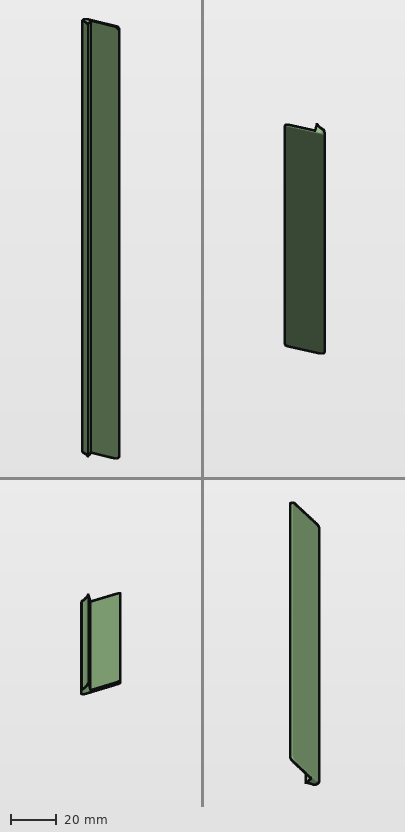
import cadquery as cq

length = 221.0
width = 18.0
depth = 4.5

plate_thickness = 1.0
nose_depth = 2.5
nose_run = 0.9
lip_run = 4.5
lip_sag = 0.33

corner_radius = 2.0
back_edge_radius = 0.7

left = -width / 2
right = width / 2
back = depth / 2
front = -depth / 2
lip_face = left + lip_run
plate_front = back - plate_thickness
nose_front = back - nose_depth


def make_profile():
    """Plate section with a bulged nose and a hollow-faced lip."""
    return (
        cq.Workplane("XY")
        .moveTo(right, back)
        .lineTo(left, back)
        .lineTo(left, back - back_edge_radius)
        .tangentArcPoint((left + nose_run, nose_front), relative=False)
        .sagittaArc((lip_face, front), lip_sag)
        .lineTo(lip_face, plate_front)
        .lineTo(right, plate_front)
        .close()
    )


def make_outline():
    """Rounded rectangle with a softened back edge that trims the extrusion."""
    return (
        cq.Workplane("XY")
        .box(width, depth, length)
        .edges("|Y")
        .fillet(corner_radius)
        .faces(">Y")
        .edges()
        .fillet(back_edge_radius)
    )


bar = make_profile().extrude(length / 2, both=True)
result = bar.intersect(make_outline())